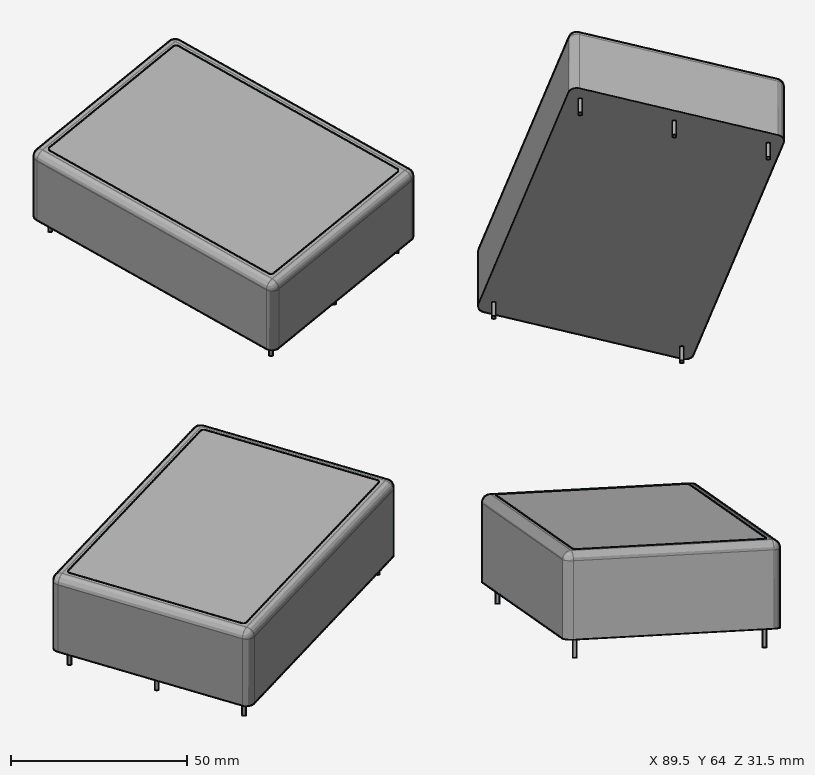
import cadquery as cq

case_length = 89.5
case_width = 64.0
overall_height = 31.5
pin_length = 6.0

case_round = 2.5

label_thickness = 0.1
label_margin = 3.5
label_corner_radius = 1.0
label_length = case_length - 2 * label_margin
label_width = case_width - 2 * label_margin

case_height = overall_height - pin_length - label_thickness

pin_diameter = 1.2
pin_row_x = 40.64
pin_outer_y = 27.94
pin_positions = [
    (-pin_row_x, -pin_outer_y),
    (-pin_row_x, pin_outer_y),
    (pin_row_x, -pin_outer_y),
    (pin_row_x, 0),
    (pin_row_x, pin_outer_y),
]


def make_case():
    """Block with a flat underside, rounded everywhere else."""
    block = cq.Workplane("XY").box(case_length, case_width, case_height, centered=(True, True, False))
    return block.edges("|Z or >Z").fillet(case_round)


def make_label():
    """Flat plate with rounded corners, resting on the case."""
    plate = (
        cq.Workplane("XY", origin=(0, 0, case_height))
        .box(label_length, label_width, label_thickness, centered=(True, True, False))
    )
    return plate.edges("|Z").fillet(label_corner_radius)


def make_pin(x, y):
    """Round pin hanging from the underside of the case."""
    return cq.Workplane("XY", origin=(x, y, 0)).circle(pin_diameter / 2).extrude(-pin_length)


case = make_case()
label = make_label()
pins = [make_pin(x, y) for x, y in pin_positions]

result = cq.Compound.makeCompound([case.val(), label.val(), *[pin.val() for pin in pins]])